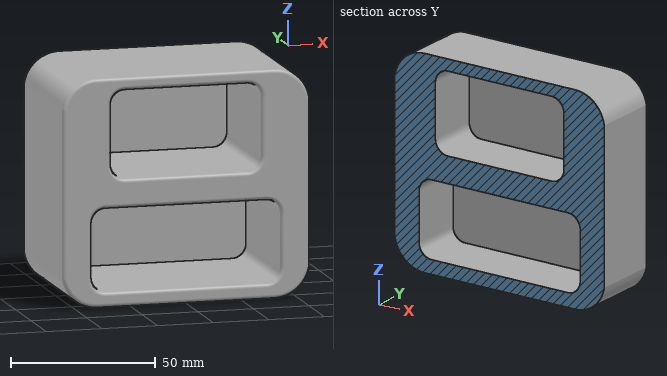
import cadquery as cq

WIDTH = 88.9
DEPTH = 50.8
HEIGHT = 81.28
CORNER_RADIUS = 12.7
SIDE_TRIM = 0.166
FRONT_FILLET = 1.524

POCKET_CORNER_RADIUS = 5.08
BACK_WALL = 5.08
LOWER_POCKET_WIDTH = 68.0
LOWER_POCKET_HEIGHT = 29.35
UPPER_POCKET_WIDTH = 54.2
UPPER_POCKET_HEIGHT = 31.2
BOTTOM_WALL = 5.65
SHELF_THICKNESS = 10.4

FRONT_Y = -DEPTH / 2
BOTTOM_Z = -HEIGHT / 2
LOWER_POCKET_Z = BOTTOM_Z + BOTTOM_WALL
UPPER_POCKET_Z = LOWER_POCKET_Z + LOWER_POCKET_HEIGHT + SHELF_THICKNESS
POCKET_DEPTH = DEPTH - BACK_WALL


def make_block():
    """Block with fully tangent corners, slightly wider than the finished part."""
    return (
        cq.Workplane("XY")
        .box(WIDTH + 2 * SIDE_TRIM, DEPTH, HEIGHT)
        .edges("|Y")
        .fillet(CORNER_RADIUS)
    )


def make_pocket(width, height, floor_z):
    """Blind pocket volume, open at the front, with rounded corners."""
    return (
        cq.Workplane("XY")
        .box(width, POCKET_DEPTH, height)
        .edges("|Y")
        .fillet(POCKET_CORNER_RADIUS)
        .translate((0, FRONT_Y + POCKET_DEPTH / 2, floor_z + height / 2))
    )


def round_front_edges(body):
    """Round the outer rim and both pocket mouths on the front face."""
    return body.faces("<Y").edges().fillet(FRONT_FILLET)


def make_side_slab():
    """Full-height slab that sets the finished width, with its upright front edges rounded."""
    slab = cq.Workplane("XY").box(WIDTH, DEPTH, HEIGHT)
    return slab.faces("<Y").edges("|Z").fillet(FRONT_FILLET)


lower_pocket = make_pocket(LOWER_POCKET_WIDTH, LOWER_POCKET_HEIGHT, LOWER_POCKET_Z)
upper_pocket = make_pocket(UPPER_POCKET_WIDTH, UPPER_POCKET_HEIGHT, UPPER_POCKET_Z)
body = round_front_edges(make_block().cut(lower_pocket).cut(upper_pocket))
result = body.intersect(make_side_slab())